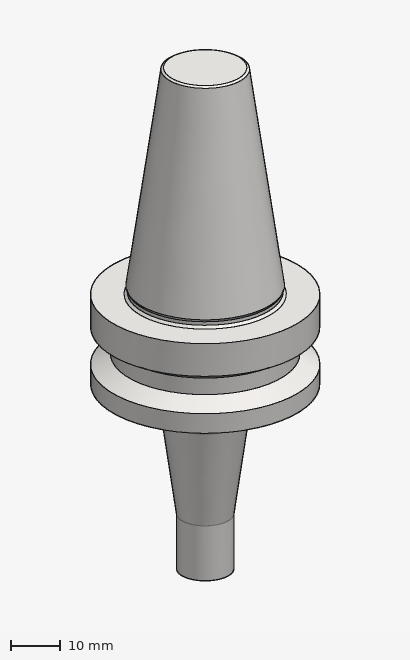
import cadquery as cq
import math

total_height = 111.4
stem_height = 12.3
flange_bottom = 41.1
groove_bottom = 47.8
groove_top = 51.5
flange_top = 61.0
taper_bottom = 62.9

stem_radius = 11.6 / 2
flange_radius = 46.0 / 2
groove_radius = 38.0 / 2
neck_radius = 31.3 / 2
taper_radius = 15.9

taper_slope = 7 / 24 / 2
nose_angle = 8.0
flange_back_angle = 15.0
groove_wall_angle = 30.0

root_fillet = 5.0
top_chamfer_width = 0.6
top_chamfer_height = 0.3
neck_shoulder = 0.6
neck_base_radius = 16.3

groove_wall_height = (flange_radius - groove_radius) * math.tan(math.radians(groove_wall_angle))
taper_top_radius = taper_radius - taper_slope * (total_height - top_chamfer_height - taper_bottom)

nose_slope = math.tan(math.radians(nose_angle))
back_slope = math.tan(math.radians(flange_back_angle))
root_radius = (
    stem_radius + nose_slope * (flange_bottom - stem_height - back_slope * flange_radius)
) / (1 - nose_slope * back_slope)
root_height = flange_bottom - (flange_radius - root_radius) * back_slope

profile = [
    (0, 0),
    (stem_radius, 0),
    (stem_radius, stem_height),
    (root_radius, root_height),
    (flange_radius, flange_bottom),
    (flange_radius, groove_bottom - groove_wall_height),
    (groove_radius, groove_bottom),
    (groove_radius, groove_top),
    (flange_radius, groove_top + groove_wall_height),
    (flange_radius, flange_top),
    (neck_base_radius, flange_top),
    (neck_radius, flange_top + neck_shoulder),
    (neck_radius, taper_bottom - neck_shoulder),
    (taper_radius, taper_bottom),
    (taper_top_radius, total_height - top_chamfer_height),
    (taper_top_radius - top_chamfer_width, total_height),
    (0, total_height),
]
body = cq.Workplane("XZ").polyline(profile).close().revolve(360, (0, 0, 0), (0, 1, 0))

root_edge = cq.selectors.BoxSelector(
    (-flange_radius, -flange_radius, root_height - root_fillet / 2),
    (flange_radius, flange_radius, root_height + root_fillet / 2),
    boundingbox=True,
)
result = body.edges("%CIRCLE").edges(root_edge).fillet(root_fillet)